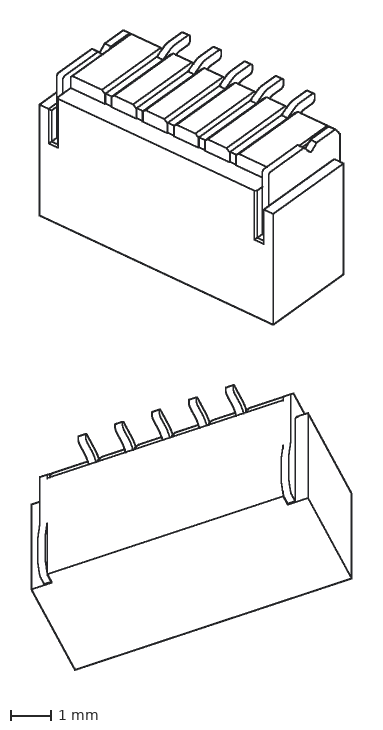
import cadquery as cq
import math


length = 7.5
height = 4.35
body_back = 3.09
body_top = 4.23
ledge_height = 3.84
front_ledge_depth = 0.56
back_ledge_depth = 0.19
cheek_back = 2.8
cheek_height = 3.4

contact_count = 5
pitch = 1.0
contact_width = 0.2
contact_reach = 3.7
contact_front_gap = 0.02
contact_flat_end = 2.62
tail_bend_start = 3.105
tail_bend_radius = 0.465
tail_thickness = 0.3
tail_underside_bend = 3.27
tail_underside_radius = 0.2
tail_tip_radius = 0.105
groove_bevel = 0.1
groove_depth = 0.08

clip_width = contact_width
clip_centre = 3.3
clip_front = 0.25
clip_bottom = 0.045
clip_corner_radius = 0.09
bulge_toe_back = 3.08
bulge_toe_radius = 0.1
bulge_back = 3.2
bulge_low = 0.42
bulge_high = 1.425
bulge_end = 2.05
notch_back = 2.16
notch_arc_back = 1.995
notch_arc_start = 4.095
notch_arc_front = 1.91
notch_floor = 4.07
notch_front = 1.66
clip_back_bevel_height = 0.25
slot_floor = 2.39
slot_bevel = 0.05

raised_back = body_back - back_ledge_depth
groove_floor = body_top - groove_depth
clip_inner = clip_centre - clip_width / 2
clip_outer = clip_centre + clip_width / 2


def box(x_range, y_range, z_range):
    """Axis-aligned box from its limits."""
    size = [high - low for low, high in (x_range, y_range, z_range)]
    corner = (x_range[0], y_range[0], z_range[0])
    return cq.Workplane("XY").box(*size, centered=False).translate(corner)


def extrude_across(profile_yz, x_centre, width):
    """Extrude a closed YZ profile along X, centred on x_centre."""
    return profile_yz.extrude(width / 2, both=True).translate((x_centre, 0, 0))


def make_body():
    """Central body: raised middle between a front and a rear ledge."""
    profile = (
        cq.Workplane("YZ")
        .polyline([
            (0, 0),
            (body_back, 0),
            (body_back, ledge_height),
            (raised_back, ledge_height),
            (raised_back, body_top),
            (front_ledge_depth, body_top),
            (front_ledge_depth, ledge_height),
            (0, ledge_height),
        ])
        .close()
    )
    body = extrude_across(profile, 0, 2 * clip_inner)
    top_edge_bevel = (
        cq.Workplane("XZ")
        .polyline([
            (clip_inner, body_top),
            (clip_inner - slot_bevel, body_top),
            (clip_inner, body_top - slot_bevel),
        ])
        .close()
        .extrude(-body_back)
    )
    return body.cut(top_edge_bevel).cut(top_edge_bevel.mirror("YZ"))


def make_contact_groove():
    """Bevelled groove along the top of the body, with a notch down its front face."""
    half_width = contact_width / 2
    bevels = (
        cq.Workplane("XZ")
        .polyline([
            (-half_width - groove_bevel, body_top),
            (-half_width, groove_floor),
            (half_width, groove_floor),
            (half_width + groove_bevel, body_top),
        ])
        .close()
        .extrude(-body_back)
    )
    notch = box(
        (-half_width, half_width),
        (front_ledge_depth, front_ledge_depth + contact_front_gap),
        (ledge_height, groove_floor),
    )
    return bevels.union(notch)


def make_contact():
    """Contact strip flush with the groove floor, rising into a rounded solder tail."""
    run = tail_bend_start - contact_flat_end
    bend_centre_rise = height - tail_bend_radius - groove_floor
    ramp_angle = (
        math.atan2(bend_centre_rise, run)
        + math.asin(tail_bend_radius / math.hypot(bend_centre_rise, run))
    )

    def upper_bend_point(angle):
        """Point on the upper bend, with angle measured back from the level tail."""
        return (
            tail_bend_start - tail_bend_radius * math.sin(angle),
            height - tail_bend_radius * (1 - math.cos(angle)),
        )

    tail_underside = height - tail_thickness
    underside_drop = tail_underside_radius * (1 - math.cos(ramp_angle))
    underside_run = tail_underside_radius * math.sin(ramp_angle)
    underside_end = (tail_underside_bend - underside_run, tail_underside - underside_drop)
    ramp_foot = underside_end[0] - (underside_end[1] - ledge_height) / math.tan(ramp_angle)
    contact_front = front_ledge_depth + contact_front_gap
    profile = (
        cq.Workplane("YZ")
        .moveTo(contact_front, ledge_height)
        .lineTo(contact_front, groove_floor)
        .lineTo(contact_flat_end, groove_floor)
        .lineTo(*upper_bend_point(ramp_angle))
        .threePointArc(upper_bend_point(ramp_angle / 2), (tail_bend_start, height))
        .lineTo(contact_reach, height)
        .lineTo(contact_reach, tail_underside)
        .lineTo(tail_underside_bend, tail_underside)
        .radiusArc(underside_end, -tail_underside_radius)
        .lineTo(ramp_foot, ledge_height)
        .close()
    )
    contact = extrude_across(profile, 0, contact_width)
    return contact.edges("|X and >Y").fillet(tail_tip_radius)


def make_cheek():
    """Right-hand side block, bevelled along the top edge next to its clip."""
    return (
        cq.Workplane("XZ")
        .polyline([
            (clip_outer, 0),
            (length / 2, 0),
            (length / 2, cheek_height),
            (clip_outer + slot_bevel, cheek_height),
            (clip_outer, cheek_height - slot_bevel),
        ])
        .close()
        .extrude(-cheek_back)
    )


def make_clip():
    """Right-hand clip: flat plate with a spring bulge behind and a notch in its top edge."""
    profile = (
        cq.Workplane("YZ")
        .polyline([
            (clip_front, clip_bottom),
            (bulge_toe_back, clip_bottom),
            (bulge_back, bulge_low),
            (bulge_back, bulge_high),
            (body_back, bulge_end),
            (body_back, body_top - clip_back_bevel_height),
            (raised_back, body_top),
            (notch_back, body_top),
            (notch_arc_back, notch_arc_start),
        ])
        .tangentArcPoint((notch_arc_front, notch_floor), relative=False)
        .lineTo(notch_front, height)
        .lineTo(clip_front, height)
        .close()
    )
    clip = extrude_across(profile, clip_centre, clip_width)
    rounded_corners = [
        (clip_front, height, clip_corner_radius),
        (bulge_toe_back, clip_bottom, bulge_toe_radius),
    ]
    for corner_y, corner_z, radius in rounded_corners:
        corner = cq.selectors.NearestToPointSelector((clip_centre, corner_y, corner_z))
        clip = clip.edges(corner).fillet(radius)
    return clip


def make_slot_base():
    """Housing that fills the right-hand clip slot up to the floor of its open front."""
    return box((clip_inner, clip_outer), (0, cheek_back), (0, slot_floor))


def make_slot_mouth():
    """Bevel around the front opening of the right-hand clip slot."""
    mouth_width = clip_width + 2 * slot_bevel
    mouth_bottom = slot_floor - slot_bevel
    return (
        cq.Workplane("XZ")
        .center(clip_centre, (mouth_bottom + height) / 2)
        .rect(mouth_width, height - mouth_bottom)
        .extrude(-slot_bevel, taper=45)
    )


housing = make_body()
contacts = []
for index in range(contact_count):
    contact_x = (index - (contact_count - 1) / 2) * pitch
    housing = housing.cut(make_contact_groove().translate((contact_x, 0, 0)))
    contacts.append(make_contact().translate((contact_x, 0, 0)))

result = housing
for contact in contacts:
    result = result.union(contact)

right_side = make_cheek().union(make_slot_base()).union(make_clip())
result = result.union(right_side).union(right_side.mirror("YZ"))
slot_mouth = make_slot_mouth()
result = result.cut(slot_mouth).cut(slot_mouth.mirror("YZ"))